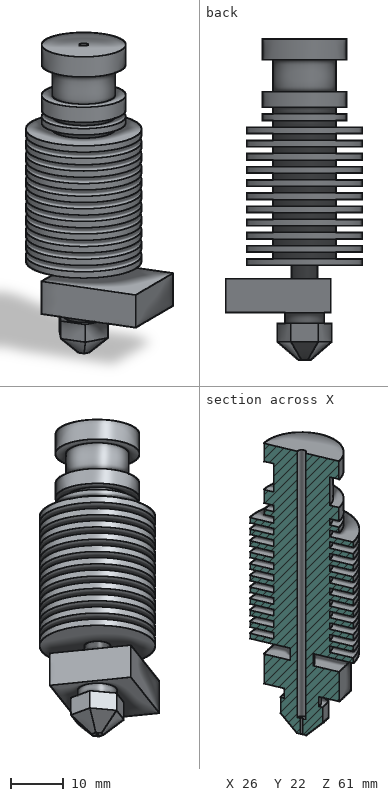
import cadquery as cq
import math


tip_height = 3.5
hex_height = 3.5
hex_across_flats = 9.0
tip_across_flats = 2.0
nozzle_neck_diameter = 7.5
nozzle_neck_height = 2.0

block_length = 20.0
block_width = 16.0
block_height = 6.5
block_left_offset = 5.0

heat_break_diameter = 5.0
heat_break_height = 2.5

core_diameter = 12.0
fin_diameter = 22.0
fin_thickness = 1.25
fin_pitch = 2 * fin_thickness
fin_count = 11

collar_diameter = 16.0
lower_collar_height = 3.0
groove_height = 6.0
upper_collar_height = 4.0

filament_bore_diameter = 1.75
orifice_diameter = 0.4

hex_bottom = tip_height
hex_top = hex_bottom + hex_height
block_bottom = hex_top + nozzle_neck_height
block_top = block_bottom + block_height
sink_bottom = block_top + heat_break_height
small_fin_bottom = sink_bottom + fin_count * fin_pitch
lower_collar_bottom = small_fin_bottom + fin_pitch
lower_collar_top = lower_collar_bottom + lower_collar_height
upper_collar_bottom = lower_collar_top + groove_height
part_top = upper_collar_bottom + upper_collar_height


def disc(diameter, bottom, top):
    """Cylinder on the Z axis between two levels."""
    return cq.Workplane("XY").workplane(offset=bottom).circle(diameter / 2).extrude(top - bottom)


def across_corners(across_flats):
    """Corner-to-corner size of a regular hexagon."""
    return across_flats / math.cos(math.pi / 6)


def make_nozzle():
    """Hexagonal nozzle, corners on the X axis, with a pyramid tip and a round neck."""
    hexagon = (
        cq.Workplane("XY")
        .workplane(offset=hex_bottom)
        .polygon(6, across_corners(hex_across_flats))
        .extrude(hex_height)
    )
    tip = (
        cq.Workplane("XY")
        .polygon(6, across_corners(tip_across_flats))
        .workplane(offset=tip_height)
        .polygon(6, across_corners(hex_across_flats))
        .loft(ruled=True)
    )
    return hexagon.union(tip).union(disc(nozzle_neck_diameter, hex_top, block_bottom))


def make_heater_block():
    """Rectangular block, centred in Y and reaching further out on the +X side."""
    return cq.Workplane("XY").box(
        block_length, block_width, block_height, centered=(False, True, False)
    ).translate((-block_left_offset, 0, block_bottom))


def make_heat_sink():
    """Core with evenly spaced fins, one small fin above them and the grooved collar."""
    sink = disc(core_diameter, sink_bottom, part_top)
    for index in range(fin_count):
        fin_bottom = sink_bottom + index * fin_pitch
        sink = sink.union(disc(fin_diameter, fin_bottom, fin_bottom + fin_thickness))
    sink = sink.union(disc(collar_diameter, small_fin_bottom, small_fin_bottom + fin_thickness))
    sink = sink.union(disc(collar_diameter, lower_collar_bottom, lower_collar_top))
    return sink.union(disc(collar_diameter, upper_collar_bottom, part_top))


def make_filament_path():
    """Filament bore down to the nozzle tip, continued by the narrow orifice."""
    bore = disc(filament_bore_diameter, hex_bottom, part_top)
    return bore.union(disc(orifice_diameter, 0, hex_bottom))


body = make_nozzle().union(make_heater_block())
body = body.union(disc(heat_break_diameter, block_top, sink_bottom))
body = body.union(make_heat_sink())
result = body.cut(make_filament_path())